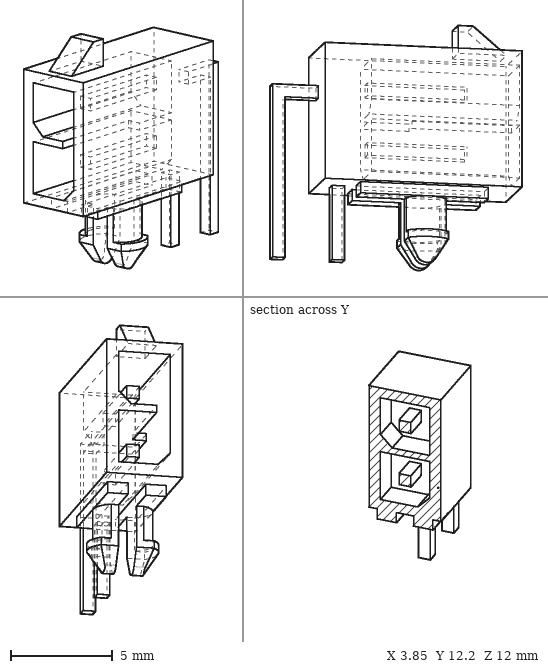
import cadquery as cq

overall_length = 12.22

body_width = 3.85
body_length = 9.92
body_height = 6.84

cavity_depth = 7.45
side_wall = 0.62
end_wall = 0.59
divider = 0.37
cavity_chamfer = 0.62
divider_slot_width = 0.7
divider_slot_depth = 5.01
cavity_width = body_width - 2 * side_wall
cavity_height = (body_height - 2 * end_wall - divider) / 2

ramp_width = 1.44
ramp_height = 1.39
ramp_front = 0.54
ramp_crest = 2.21
ramp_back = 2.96

pin_size = 0.64
pin_pitch = 3.0
pin_tip_setback = 2.45
tail_bottom = -3.73
rear_tail_top = 4.99
rear_tail_center = overall_length - pin_size / 2
front_tail_center = rear_tail_center - pin_pitch
lower_pin_center = (body_height - pin_pitch) / 2
upper_pin_center = lower_pin_center + pin_pitch

rail_inner = 0.45
rail_outer = 1.49
rail_height = 0.56
rail_front = 1.6
rail_back = 8.04

peg_center = 4.6
peg_half_length = 1.01
shank_flat_end = 0.83
collar_top = -2.29
collar_bottom = -2.66
collar_flat_end = 1.35
collar_outer = 1.78
tip_bottom = -3.81
tip_flat_end = 0.92
tip_outer = 1.03
tip_half_length = 0.3
nose_start = -3.51
nose_half_length = 0.49


def block(x_range, y_range, z_range):
    """Axis-aligned box between pairs of limits."""
    sizes = [high - low for low, high in (x_range, y_range, z_range)]
    corner = (x_range[0], y_range[0], z_range[0])
    return cq.Workplane("XY").box(*sizes, centered=False).translate(corner)


def cavity(bottom, chamfered_edge):
    """Rectangular contact cavity with one bevelled lower corner."""
    half_width = cavity_width / 2
    pocket = block((-half_width, half_width), (0, cavity_depth), (bottom, bottom + cavity_height))
    return pocket.edges(chamfered_edge).chamfer(cavity_chamfer)


def housing():
    body = block((-body_width / 2, body_width / 2), (0, body_length), (0, body_height))
    upper_bottom = end_wall + cavity_height + divider
    body = body.cut(cavity(end_wall, "|Y and >X and <Z"))
    body = body.cut(cavity(upper_bottom, "|Y and <X and <Z"))
    slot_x = (cavity_width / 2 - divider_slot_width, cavity_width / 2)
    slot_z = (end_wall + cavity_height, upper_bottom)
    return body.cut(block(slot_x, (0, divider_slot_depth), slot_z))


def locking_ramp():
    top = body_height + ramp_height
    profile = [(ramp_front, body_height), (ramp_crest, top), (ramp_back, top), (ramp_back, body_height)]
    return cq.Workplane("YZ").polyline(profile).close().extrude(ramp_width / 2, both=True)


def pins():
    half = pin_size / 2
    pin_x = (-half, half)
    contacts = cq.Workplane("XY")
    for center in (lower_pin_center, upper_pin_center):
        contacts = contacts.add(block(pin_x, (pin_tip_setback, body_length), (center - half, center + half)))
    front_tail = block(
        pin_x, (front_tail_center - half, front_tail_center + half), (tail_bottom, lower_pin_center)
    )
    rear_tail = block(pin_x, (rear_tail_center - half, overall_length), (tail_bottom, rear_tail_top))
    rear_arm = block(pin_x, (cavity_depth, overall_length), (rear_tail_top - pin_size, rear_tail_top))
    return contacts.add(front_tail).add(rear_tail).add(rear_arm).combine()


def rail():
    return block((rail_inner, rail_outer), (rail_front, rail_back), (-rail_height, 0))


def peg_section(plane, half_length, flat_end, outer):
    """Draw a peg cross-section: flat inner side, straight ends and a bowed outer side."""
    return (
        plane.moveTo(rail_inner, peg_center - half_length)
        .lineTo(flat_end, peg_center - half_length)
        .threePointArc((outer, peg_center), (flat_end, peg_center + half_length))
        .lineTo(rail_inner, peg_center + half_length)
        .close()
    )


def peg():
    collar_plane = cq.Workplane("XY").workplane(offset=collar_bottom)
    shank = peg_section(collar_plane, peg_half_length, shank_flat_end, rail_outer).extrude(-collar_bottom)
    collar = peg_section(collar_plane, peg_half_length, collar_flat_end, collar_outer).extrude(
        collar_top - collar_bottom
    )
    tip_base = cq.Workplane("XY").workplane(offset=tip_bottom)
    tip_base = peg_section(tip_base, tip_half_length, tip_flat_end, tip_outer)
    tip_top = tip_base.workplane(offset=collar_bottom - tip_bottom)
    tip = peg_section(tip_top, peg_half_length, collar_flat_end, collar_outer).loft(ruled=True)
    nose = (
        cq.Workplane("YZ")
        .moveTo(peg_center - peg_half_length, collar_bottom)
        .lineTo(peg_center - nose_half_length, nose_start)
        .threePointArc((peg_center, tip_bottom), (peg_center + nose_half_length, nose_start))
        .lineTo(peg_center + peg_half_length, collar_bottom)
        .close()
        .extrude(collar_outer)
    )
    return shank.union(collar).union(tip.intersect(nose))


right_foot = rail().union(peg())
left_foot = right_foot.mirror("YZ")
result = housing().union(locking_ramp()).union(pins()).union(right_foot).union(left_foot)